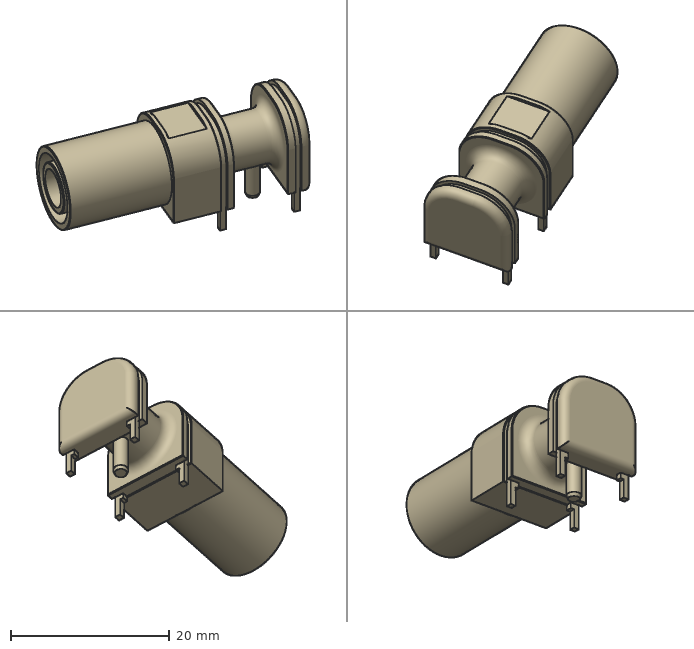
import cadquery as cq


TOTAL_LENGTH = 33.0
BODY_WIDTH = 12.0
BODY_TOP = BODY_WIDTH / 2
BARREL_DIAMETER = 11.0
BODY_BOTTOM = -BARREL_DIAMETER / 2
SHOULDER_START_Z = 1.45
TOP_FLAT_WIDTH = 2.3
EDGE_BREAK = 0.1

BARREL_LENGTH = 13.95
BODY_REAR = 20.6
FRONT_FLANGE_REAR = 22.35
REAR_FLANGE_FRONT = 29.67
REAR_CAP_FRONT = 31.58

PLATE_THICKNESS = 0.82
PLATE_INSET = (BODY_WIDTH - BARREL_DIAMETER) / 2
TERMINAL_BOTTOM = -8.9
TERMINAL_OUTER_X = BODY_WIDTH / 2 - PLATE_INSET
TERMINAL_WIDTH = 0.8
STANDOFF_WIDTH = 1.3
STANDOFF_HEIGHT = 0.8

REAR_ROUND = 1.0
NECK_DIAMETER = 7.23
NECK_FILLET = 1.4

PIN_DIAMETER = 1.95
PIN_Y = 27.4
PIN_TIP_HEIGHT = 0.5
PIN_TIP_INSET = 0.2

RECESS_WIDTH = 6.0
RECESS_FRONT = 14.62
RECESS_REAR = 19.83
RECESS_DEPTH = 0.35

CAVITY_MOUTH_DIAMETER = 9.2
CAVITY_FLOOR_DIAMETER = 8.45
CAVITY_DEPTH = BARREL_LENGTH
SLEEVE_DIAMETER = 6.75
SLEEVE_CHAMFER = 0.13
BORE_DIAMETER = 5.05
BORE_DEPTH = BARREL_LENGTH
BORE_STEP_DIAMETER = 4.1
BORE_STEP_DEPTH = 0.82
BORE_TIP_DIAMETER = 3.9
BORE_TIP_DEPTH = BORE_TIP_DIAMETER / 2


def arched_block(front, rear, inset=0.0):
    """Flat-bottomed block with rounded upper shoulders, optionally inset at its sides and top."""
    half_width = BODY_WIDTH / 2 - inset
    top = BODY_TOP - inset
    shoulder_width = half_width - TOP_FLAT_WIDTH / 2
    shoulder_height = top - SHOULDER_START_Z
    shoulder_radius = (shoulder_width**2 + shoulder_height**2) / (2 * shoulder_height)
    return (
        cq.Workplane("XZ", origin=(0, rear, 0))
        .moveTo(-half_width, BODY_BOTTOM)
        .lineTo(-half_width, SHOULDER_START_Z)
        .radiusArc((-TOP_FLAT_WIDTH / 2, top), shoulder_radius)
        .lineTo(TOP_FLAT_WIDTH / 2, top)
        .radiusArc((half_width, SHOULDER_START_Z), shoulder_radius)
        .lineTo(half_width, BODY_BOTTOM)
        .close()
        .extrude(rear - front)
    )


def terminal_plate(rear):
    """Arched sheet with a stepped solder leg under each side."""
    front = rear - PLATE_THICKNESS
    plate = arched_block(front, rear, PLATE_INSET)
    standoff_bottom = BODY_BOTTOM - STANDOFF_HEIGHT
    leg_inner_x = TERMINAL_OUTER_X - TERMINAL_WIDTH
    standoff_inner_x = TERMINAL_OUTER_X - STANDOFF_WIDTH
    for side in (-1, 1):
        leg = (
            cq.Workplane("XZ", origin=(0, rear, 0))
            .moveTo(side * TERMINAL_OUTER_X, BODY_BOTTOM)
            .lineTo(side * TERMINAL_OUTER_X, TERMINAL_BOTTOM)
            .lineTo(side * leg_inner_x, TERMINAL_BOTTOM)
            .lineTo(side * leg_inner_x, standoff_bottom)
            .lineTo(side * standoff_inner_x, standoff_bottom)
            .lineTo(side * standoff_inner_x, BODY_BOTTOM)
            .close()
            .extrude(PLATE_THICKNESS)
        )
        plate = plate.union(leg)
    return plate


def revolve_about_axis(profile):
    """Turn a closed (radius, y) profile around the connector axis."""
    return profile.close().revolve(360, (0, 0, 0), (0, 1, 0))


def neck():
    """Round waist that flares into both flanges."""
    radius = NECK_DIAMETER / 2
    flare_radius = radius + NECK_FILLET
    front = FRONT_FLANGE_REAR
    rear = REAR_FLANGE_FRONT
    return revolve_about_axis(
        cq.Workplane("XY")
        .moveTo(0, front)
        .lineTo(flare_radius, front)
        .radiusArc((radius, front + NECK_FILLET), NECK_FILLET)
        .lineTo(radius, rear - NECK_FILLET)
        .radiusArc((flare_radius, rear), NECK_FILLET)
        .lineTo(0, rear)
    )


def barrel():
    return (
        cq.Workplane("XZ", origin=(0, BARREL_LENGTH, 0))
        .circle(BARREL_DIAMETER / 2)
        .extrude(BARREL_LENGTH)
        .faces("<Y")
        .edges()
        .chamfer(EDGE_BREAK)
    )


def cavity():
    """Tapered ring-shaped space between the barrel and the inner sleeve."""
    sleeve_radius = SLEEVE_DIAMETER / 2
    return revolve_about_axis(
        cq.Workplane("XY")
        .moveTo(sleeve_radius - SLEEVE_CHAMFER, 0)
        .lineTo(CAVITY_MOUTH_DIAMETER / 2, 0)
        .lineTo(CAVITY_FLOOR_DIAMETER / 2, CAVITY_DEPTH)
        .lineTo(sleeve_radius, CAVITY_DEPTH)
        .lineTo(sleeve_radius, SLEEVE_CHAMFER)
    )


def bore():
    """Blind bore that narrows through a conical step and ends in a drill point."""
    step_end = BORE_DEPTH + BORE_STEP_DEPTH
    return revolve_about_axis(
        cq.Workplane("XY")
        .lineTo(BORE_DIAMETER / 2, 0)
        .lineTo(BORE_DIAMETER / 2, BORE_DEPTH)
        .lineTo(BORE_STEP_DIAMETER / 2, step_end)
        .lineTo(BORE_TIP_DIAMETER / 2, step_end)
        .lineTo(0, step_end + BORE_TIP_DEPTH)
    )


def guide_pin():
    """Pin rising to the connector axis inside the neck, with a chamfered tip."""
    return (
        cq.Workplane("XY", origin=(0, PIN_Y, TERMINAL_BOTTOM))
        .circle(PIN_DIAMETER / 2)
        .extrude(-TERMINAL_BOTTOM)
        .faces("<Z")
        .chamfer(PIN_TIP_HEIGHT, PIN_TIP_INSET)
    )


def top_recess():
    return (
        cq.Workplane("XY")
        .box(RECESS_WIDTH, RECESS_REAR - RECESS_FRONT, RECESS_DEPTH, centered=(True, False, False))
        .translate((0, RECESS_FRONT, BODY_TOP - RECESS_DEPTH))
    )


front_plate_rear = BODY_REAR + PLATE_THICKNESS
rear_flange_rear = REAR_CAP_FRONT - PLATE_THICKNESS

body = arched_block(BARREL_LENGTH, BODY_REAR).faces("<Y or >Y").edges().chamfer(EDGE_BREAK)
front_flange = arched_block(front_plate_rear, FRONT_FLANGE_REAR).faces(">Y").edges().chamfer(EDGE_BREAK)
rear_flange = arched_block(REAR_FLANGE_FRONT, rear_flange_rear).faces("<Y").edges().chamfer(EDGE_BREAK)
rear_cap = arched_block(REAR_CAP_FRONT, TOTAL_LENGTH).faces(">Y").edges().fillet(REAR_ROUND)

result = (
    body.cut(top_recess())
    .union(barrel())
    .union(terminal_plate(front_plate_rear))
    .union(front_flange)
    .union(neck())
    .union(guide_pin())
    .union(rear_flange)
    .union(terminal_plate(REAR_CAP_FRONT))
    .union(rear_cap)
    .cut(cavity())
    .cut(bore())
)